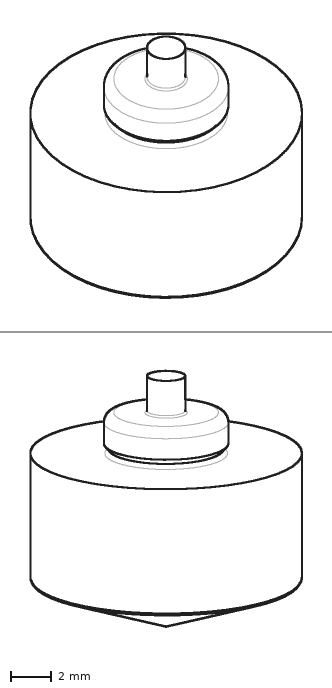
import cadquery as cq
import math

body_diameter = 13.5
body_radius = body_diameter / 2
body_top = 8.94
cone_height = 2.42
rim_inset = 0.08
rim_height = 0.12
neck_diameter = 5.7
neck_radius = neck_diameter / 2
neck_height = 0.23
neck_foot_fillet = 0.2

cap_diameter = 6.2
cap_radius = cap_diameter / 2
cap_bottom = body_top + neck_height
cap_chamfer_height = 0.28
cap_top = 11.03
cap_edge_fillet = 0.5
pin_diameter = 1.9
pin_radius = pin_diameter / 2
pin_top = 12.92
pin_foot_fillet = 0.1

arc_inset = 1 - math.sqrt(0.5)


def revolve_outline(outline):
    """Turn a closed half outline about the Z axis into a solid."""
    return outline.close().revolve(360, (0, 0, 0), (0, 1, 0))


def make_body():
    """Pointed cylinder with a chamfered rim and a filleted neck; the tip is at the origin."""
    cone_radius = body_radius - rim_inset
    neck_arc_gap = neck_foot_fillet * arc_inset
    outline = (
        cq.Workplane("XZ")
        .lineTo(cone_radius, cone_height)
        .lineTo(body_radius, cone_height + rim_height)
        .lineTo(body_radius, body_top)
        .lineTo(neck_radius + neck_foot_fillet, body_top)
        .threePointArc(
            (neck_radius + neck_arc_gap, body_top + neck_arc_gap),
            (neck_radius, body_top + neck_foot_fillet),
        )
        .lineTo(neck_radius, cap_bottom)
        .lineTo(0, cap_bottom)
    )
    return revolve_outline(outline)


def make_cap():
    """Head resting on the neck, with a pin rising from its middle."""
    edge_arc_gap = cap_edge_fillet * arc_inset
    pin_arc_gap = pin_foot_fillet * arc_inset
    outline = (
        cq.Workplane("XZ")
        .moveTo(0, cap_bottom)
        .lineTo(neck_radius, cap_bottom)
        .lineTo(cap_radius, cap_bottom + cap_chamfer_height)
        .lineTo(cap_radius, cap_top - cap_edge_fillet)
        .threePointArc(
            (cap_radius - edge_arc_gap, cap_top - edge_arc_gap),
            (cap_radius - cap_edge_fillet, cap_top),
        )
        .lineTo(pin_radius + pin_foot_fillet, cap_top)
        .threePointArc(
            (pin_radius + pin_arc_gap, cap_top + pin_arc_gap),
            (pin_radius, cap_top + pin_foot_fillet),
        )
        .lineTo(pin_radius, pin_top)
        .lineTo(0, pin_top)
    )
    return revolve_outline(outline)


body = make_body()
cap = make_cap()

result = cq.Compound.makeCompound([body.val(), cap.val()])